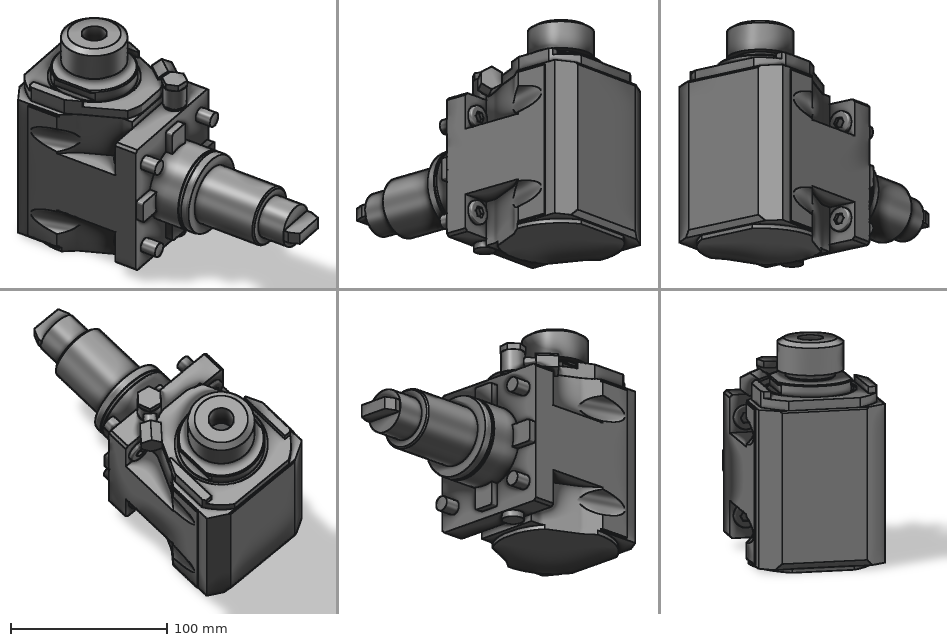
import cadquery as cq
import math


core_half_width = 41.6
overall_width = 85.0
pad_half_width = overall_width / 2
core_top = 52.0
core_bottom = -51.8
pad_half_height = 50.5
pad_start = 15.8
rear_face_half_width = 28.0
rear_corner_length = 7.7
rear_bottom_chamfer = (4.0, 2.2)
rear_top_chamfer = (1.2, 0.6)

flange_rear = 82.6
flange_front = 98.5
flange_half_height = 46.9
flange_chamfer = 1.8

web_half_height = 22.1
waist_start = (38.0, pad_half_width)
waist_bend = (49.0, 34.1)
neck_start = 74.5
neck_half_width = 22.5
waist_blend = 7.1
cutter_margin = 10.2
pick_margin = 0.2

screw_offset = 32.0
screw_radius = 4.9
screw_end = 109.5
head_radius = 8.0
head_height = 3.0
head_rounding = 1.0
socket_radius = 3.9
socket_depth = 2.5
channel_radius = 9.7
channel_angle = 16
channel_start = 18.0
channel_length = 61

key_half_width = 7.5
key_outer = 41.8
key_inner = 24.4
key_end = 103.5
key_rounding = 1.6

spindle_x = 38.8
cover_radius = 44.7
cover_top = 58.3
cover_half_width = 38.2
cover_rear = 0.8
cover_front = 82.2
cover_taper_start = (41.0, cover_half_width)
cover_taper_end = (78.4, 21.0)
rail_top = 62.5
rail_start = 13.4
rail_end = 51.5
rail_inner = 32.0
base_radius = 40.5
base_bottom = -54.6
base_rear = 3.7
base_front = 79.0
collar_radius = 27.8
collar_top = 65.5
collar_chamfer = 0.8
collar_flat = 23.0
lip_flat = 24.4
lip_height = 1.6
recess_radius = 29.8
recess_depth = 1.0
undercut_radius = 14.6
undercut_top = 66.8
neck_radius = 16.0
knob_radius = 21.3
knob_bottom = 70.6
knob_top = 91.1
knob_chamfer = (2.6, 4.3)
bore_radius = 8.1
bore_depth = 20.3

pilot_radius = 27.2
pilot_end = 128.5
pilot_groove = (120.5, 123.0)
pilot_groove_depth = 1.0
pilot_chamfer = (1.8, 0.5)
shank_radius = 19.9
shank_end = 173.5
shank_chamfer = 1.0
tip_radius = 14.5
tip_end = 192.6
tang_end = 203
tang_half_thickness = 4
tang_half_width = 13.4
tang_end_half_width = 10.5
tang_taper_start = 196.0

nozzle_x = 91.0
nozzle_y = 14.2
nozzle_radius = 7.7
nozzle_neck_radius = 7.0
nozzle_neck_top = 48.7
nozzle_hex_corner = 8.3
nozzle_hex_bottom = 63.1
nozzle_top = 67.4
arm_angle = 140
arm_z = 56.0
arm_radius = 4.3
nut_corner = 7.7
nut_start = 14.5
nut_end = 28.8
plug_radius = 7.1
plug_bottom = -51.2


def box(x0, x1, y0, y1, z0, z1):
    """Box spanning the given limits."""
    return cq.Workplane("XY").box(x1 - x0, y1 - y0, z1 - z0, centered=False).translate((x0, y0, z0))


def prism(points, z0, z1):
    """Vertical prism over a closed outline in XY."""
    return cq.Workplane("XY").workplane(offset=z0).polyline(points).close().extrude(z1 - z0)


def post(x, y, radius, z0, z1):
    """Vertical cylinder."""
    return cq.Workplane("XY").workplane(offset=z0).center(x, y).circle(radius).extrude(z1 - z0)


def rod(radius, x0, x1, y=0.0, z=0.0):
    """Cylinder along X."""
    return cq.Workplane("YZ").workplane(offset=x0).center(y, z).circle(radius).extrude(x1 - x0)


def both_sides(solid):
    """The solid together with its mirror image across the XZ plane."""
    return solid.union(solid.mirror("XZ"))


def side_cutter(z0, z1):
    """Material removed beside the waist on both sides between two heights."""
    outside = pad_half_width + cutter_margin
    neck_corner = (neck_start, neck_half_width)
    dx = waist_bend[0] - waist_start[0]
    dy = waist_bend[1] - waist_start[1]
    run_out = (waist_start[0] + dx * (outside - waist_start[1]) / dy, outside)
    outline = [run_out, waist_bend, neck_corner, (flange_rear, neck_half_width), (flange_rear, outside)]
    cutter = prism(outline, z0, z1)
    for x, y in (waist_bend, neck_corner):
        near = cq.selectors.BoxSelector(
            (x - pick_margin, y - pick_margin, z0), (x + pick_margin, y + pick_margin, z1)
        )
        cutter = cutter.edges("|Z").edges(near).fillet(waist_blend)
    return both_sides(cutter)


def housing():
    """Body with side pads, a pinched waist and slanted channels leading to the screw heads."""
    outline = [
        (0, -rear_face_half_width),
        (rear_corner_length, -core_half_width),
        (flange_rear, -core_half_width),
        (flange_rear, core_half_width),
        (rear_corner_length, core_half_width),
        (0, rear_face_half_width),
    ]
    body = prism(outline, core_bottom, core_top)
    for edge, (height, depth) in ((core_bottom, rear_bottom_chamfer), (core_top, rear_top_chamfer)):
        inward = math.copysign(height, -edge)
        wedge = cq.Workplane("XZ").polyline([(0, edge), (depth, edge), (0, edge + inward)]).close()
        body = body.cut(wedge.extrude(core_half_width, both=True))
    body = body.union(
        box(pad_start, flange_rear, -pad_half_width, pad_half_width, -pad_half_height, pad_half_height)
    )
    body = body.cut(side_cutter(web_half_height, core_top))
    body = body.cut(side_cutter(core_bottom, -web_half_height))
    for z in (-screw_offset, screw_offset):
        channel = rod(channel_radius, -channel_radius, channel_length, channel_radius, 0)
        channel = channel.rotate((0, 0, 0), (0, 0, 1), -channel_angle)
        channel = channel.translate((channel_start, pad_half_width, z))
        body = body.cut(both_sides(channel))
    return body


def flange():
    plate = box(flange_rear, flange_front, -pad_half_width, pad_half_width,
                -flange_half_height, flange_half_height)
    return plate.edges("|X").chamfer(flange_chamfer)


def screw(y, z):
    head = rod(head_radius, flange_rear - head_height, flange_rear, y, z)
    head = head.faces("<X").edges().fillet(head_rounding)
    socket = (
        cq.Workplane("YZ").workplane(offset=flange_rear - head_height)
        .center(y, z).polygon(6, 2 * socket_radius).extrude(socket_depth)
    )
    return head.cut(socket).union(rod(screw_radius, flange_front, screw_end, y, z))


def key(angle):
    block = box(flange_front, key_end, key_inner, key_outer, -key_half_width, key_half_width)
    block = block.edges("|X and >Y").fillet(key_rounding)
    return block.rotate((0, 0, 0), (1, 0, 0), angle)


def cover():
    """Round plate with flats and tapered front corners, carrying a rail along each side."""
    half_outline = [
        (cover_rear, 0),
        (cover_rear, cover_half_width),
        cover_taper_start,
        cover_taper_end,
        (cover_front, cover_taper_end[1]),
        (cover_front, 0),
    ]

    def slab(z0, z1):
        return both_sides(prism(half_outline, z0, z1)).intersect(post(spindle_x, 0, cover_radius, z0, z1))

    rail = box(rail_start, rail_end, rail_inner, cover_half_width, cover_top, rail_top)
    rails = slab(cover_top, rail_top).intersect(both_sides(rail))
    plate = slab(core_top, cover_top)
    recess_bottom = cover_top - recess_depth
    recess = post(spindle_x, 0, recess_radius, recess_bottom, cover_top)
    recess = recess.cut(post(spindle_x, 0, collar_radius, recess_bottom, cover_top))
    plate = plate.cut(recess)
    return plate.union(rails)


def base():
    disc = post(spindle_x, 0, base_radius, base_bottom, core_bottom)
    disc = disc.intersect(
        box(base_rear, base_front, -base_radius, base_radius, base_bottom, core_bottom)
    )
    return disc.cut(side_cutter(base_bottom, core_bottom))


def spindle():
    lip_bottom = collar_top - lip_height
    collar_rear = spindle_x - collar_radius
    collar_front = spindle_x + collar_radius
    flats = box(collar_rear, collar_front, -collar_flat, collar_flat, cover_top, lip_bottom)
    flats = flats.union(box(collar_rear, collar_front, -lip_flat, lip_flat, lip_bottom, collar_top))
    collar = post(spindle_x, 0, collar_radius, cover_top, collar_top)
    collar = collar.faces(">Z").edges().chamfer(collar_chamfer).intersect(flats)
    chamfer_height, chamfer_depth = knob_chamfer
    knob = post(spindle_x, 0, knob_radius, knob_bottom, knob_top)
    knob = knob.faces(">Z").edges().chamfer(chamfer_height, chamfer_depth)
    knob = knob.cut(post(spindle_x, 0, bore_radius, knob_top - bore_depth, knob_top))
    return (
        collar
        .union(post(spindle_x, 0, undercut_radius, collar_top, undercut_top))
        .union(post(spindle_x, 0, neck_radius, undercut_top, knob_bottom))
        .union(knob)
    )


def shank():
    groove_start, groove_end = pilot_groove
    pilot = rod(pilot_radius, flange_front, pilot_end).faces(">X").edges().chamfer(*pilot_chamfer)
    groove = rod(pilot_radius, groove_start, groove_end)
    groove = groove.cut(rod(pilot_radius - pilot_groove_depth, groove_start, groove_end))
    barrel = rod(shank_radius, pilot_end, shank_end).faces(">X").edges().chamfer(shank_chamfer)
    tang_outline = [
        (tip_end, -tang_half_width),
        (tang_taper_start, -tang_half_width),
        (tang_end, -tang_end_half_width),
        (tang_end, tang_end_half_width),
        (tang_taper_start, tang_half_width),
        (tip_end, tang_half_width),
    ]
    tang = prism(tang_outline, -tang_half_thickness, tang_half_thickness)
    return pilot.cut(groove).union(barrel).union(rod(tip_radius, shank_end, tip_end)).union(tang)


def nozzle():
    """Upright coolant stem with a hexagonal cap and a side arm ending in a hexagonal nut."""
    cap = cq.Workplane("XY").workplane(offset=nozzle_hex_bottom).polygon(6, 2 * nozzle_hex_corner)
    cap = cap.extrude(nozzle_top - nozzle_hex_bottom)
    arm = rod(arm_radius, 0, nut_start, 0, arm_z)
    nut = cq.Workplane("YZ").workplane(offset=nut_start).polygon(6, 2 * nut_corner)
    nut = nut.extrude(nut_end - nut_start).rotate((0, 0, 0), (1, 0, 0), 90).translate((0, 0, arm_z))
    stem = post(0, 0, nozzle_neck_radius, flange_half_height, nozzle_neck_top)
    stem = stem.union(post(0, 0, nozzle_radius, nozzle_neck_top, nozzle_hex_bottom))
    stem = stem.union(cap).union(arm).union(nut)
    return stem.rotate((0, 0, 0), (0, 0, 1), arm_angle).translate((nozzle_x, nozzle_y, 0))


result = housing().union(flange()).union(cover()).union(base()).union(spindle()).union(shank())
for screw_y in (-screw_offset, screw_offset):
    for screw_z in (-screw_offset, screw_offset):
        result = result.union(screw(screw_y, screw_z))
for key_angle in range(0, 360, 90):
    result = result.union(key(key_angle))
result = result.union(nozzle())
result = result.union(post(nozzle_x, nozzle_y, plug_radius, plug_bottom, -flange_half_height))